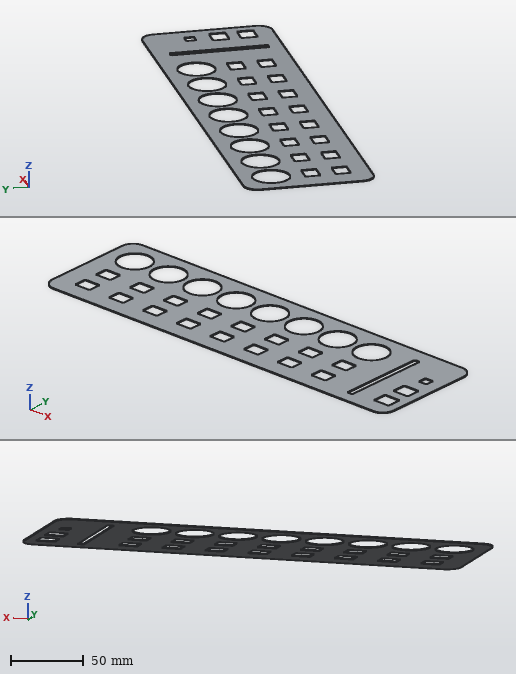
import cadquery as cq

PLATE_LENGTH = 314.0
PLATE_WIDTH = 92.0
PLATE_THICKNESS = 0.8
PLATE_CORNER_RADIUS = 10.0

CHANNEL_COUNT = 8
HOLE_PITCH = 31.1
FIRST_HOLE_X = -134.0
ROUND_HOLE_DIAMETER = 26.3
ROUND_HOLE_Y = 23.2
FIRST_WINDOW_X = -133.36
WINDOW_PITCH = 31.0
CHANNEL_WINDOW_LENGTH = 13.3
CHANNEL_WINDOW_WIDTH = 10.6
CHANNEL_WINDOW_ROWS_Y = (-5.0, -26.4)

SLOT_X = 116.3
SLOT_Y = -1.0
SLOT_LENGTH = 69.5
SLOT_WIDTH = 4.6

COLUMN_X = 142.6
COLUMN_WINDOW_LENGTH = 13.5
COLUMN_WINDOW_WIDTH = 11.6
COLUMN_WINDOW_ROWS_Y = (-7.2, -27.0)
SQUARE_WINDOW_SIZE = 7.0
SQUARE_WINDOW_Y = 13.3

OPENING_CORNER_RADIUS = 1.0


def rounded_block(length, width, corner_radius):
    """Plate-thick block with rounded vertical edges, centred on the origin and resting on Z = 0."""
    block = cq.Workplane("XY").rect(length, width).extrude(PLATE_THICKNESS)
    return block.edges("|Z").fillet(corner_radius)


def cut_windows(body, length, width, centres):
    """Cut the same round-cornered window through the body at each centre."""
    window = rounded_block(length, width, OPENING_CORNER_RADIUS)
    for x, y in centres:
        body = body.cut(window.translate((x, y, 0)))
    return body


def cut_channels(body):
    """Cut the row of round holes and the two rows of windows below them."""
    holes_x = [FIRST_HOLE_X + i * HOLE_PITCH for i in range(CHANNEL_COUNT)]
    windows_x = [FIRST_WINDOW_X + i * WINDOW_PITCH for i in range(CHANNEL_COUNT)]
    hole_centres = [(x, ROUND_HOLE_Y) for x in holes_x]
    holes = cq.Workplane("XY").pushPoints(hole_centres).circle(ROUND_HOLE_DIAMETER / 2)
    body = body.cut(holes.extrude(PLATE_THICKNESS))
    window_centres = [(x, y) for y in CHANNEL_WINDOW_ROWS_Y for x in windows_x]
    return cut_windows(body, CHANNEL_WINDOW_LENGTH, CHANNEL_WINDOW_WIDTH, window_centres)


def cut_slot(body):
    """Cut the long round-cornered slot that runs along Y."""
    return cut_windows(body, SLOT_WIDTH, SLOT_LENGTH, [(SLOT_X, SLOT_Y)])


def cut_right_column(body):
    """Cut the small square window and the two rectangular windows below it."""
    window_centres = [(COLUMN_X, y) for y in COLUMN_WINDOW_ROWS_Y]
    body = cut_windows(body, COLUMN_WINDOW_LENGTH, COLUMN_WINDOW_WIDTH, window_centres)
    square_centre = (COLUMN_X, SQUARE_WINDOW_Y)
    return cut_windows(body, SQUARE_WINDOW_SIZE, SQUARE_WINDOW_SIZE, [square_centre])


plate = rounded_block(PLATE_LENGTH, PLATE_WIDTH, PLATE_CORNER_RADIUS)
plate = cut_channels(plate)
plate = cut_slot(plate)
result = cut_right_column(plate)